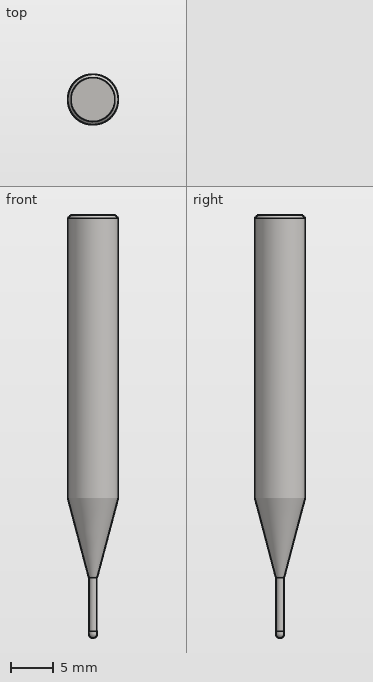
import cadquery as cq

TOTAL_LENGTH = 50.0
SHANK_RADIUS = 3.0
SHANK_CHAMFER = 0.4

CONE_TOP = 16.55
CONE_BOTTOM = 7.3
CONE_END_RADIUS = 0.55
NECK_TOP = 7.15
NECK_RADIUS = 0.475

HEAD_RADIUS = 0.5
HEAD_HEIGHT = 0.8
HEAD_NOSE_RADIUS = HEAD_RADIUS


def make_holder():
    """Chamfered shank, tapered shoulder and neck turned as one solid."""
    profile = (
        cq.Workplane("XZ")
        .moveTo(0, HEAD_HEIGHT)
        .lineTo(NECK_RADIUS, HEAD_HEIGHT)
        .lineTo(NECK_RADIUS, NECK_TOP)
        .lineTo(CONE_END_RADIUS, CONE_BOTTOM)
        .lineTo(SHANK_RADIUS, CONE_TOP)
        .lineTo(SHANK_RADIUS, TOTAL_LENGTH - SHANK_CHAMFER)
        .lineTo(SHANK_RADIUS - SHANK_CHAMFER, TOTAL_LENGTH)
        .lineTo(0, TOTAL_LENGTH)
        .close()
    )
    return profile.revolve(360, (0, 0), (0, 1))


def make_cutting_head():
    """Short cylinder with a hemispherical nose, touching the end of the neck."""
    profile = (
        cq.Workplane("XZ")
        .moveTo(0, 0)
        .radiusArc((HEAD_RADIUS, HEAD_NOSE_RADIUS), -HEAD_NOSE_RADIUS)
        .lineTo(HEAD_RADIUS, HEAD_HEIGHT)
        .lineTo(0, HEAD_HEIGHT)
        .close()
    )
    return profile.revolve(360, (0, 0), (0, 1))


holder = make_holder()
cutting_head = make_cutting_head()

result = cq.Compound.makeCompound([holder.val(), cutting_head.val()])